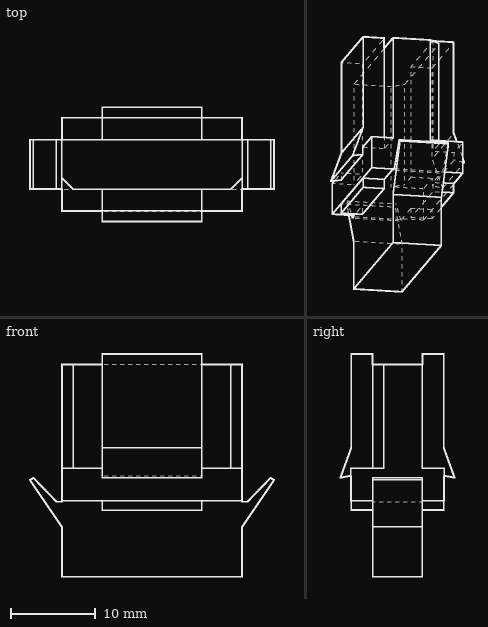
import cadquery as cq

total_length = 28.83
total_depth = 13.5
total_height = 26.3

body_length = 21.28
body_depth = 5.85
body_height = 25.05
front_corner_chamfer = 1.33

collar_depth = 11.0
collar_bottom = 9.0
collar_top = 12.8

latch_width = 11.75
latch_face_y = 5.48
latch_bend_z = 15.2
latch_tip_z = 11.68
latch_underside_rise = 0.23
strip_bottom = 7.87

arm_root_z = 5.88
arm_ledge_z = 8.88
arm_ledge_length = 0.63
arm_tip_z = 11.42
arm_end_rise = 0.25
arm_end_width = 0.43


def block(length, depth, bottom, top):
    """Box centred in X and Y between two heights."""
    return cq.Workplane("XY").workplane(offset=bottom).rect(length, depth).extrude(top - bottom)


def make_body():
    """Lower plug and upper core, with the core's front corners chamfered."""
    plug = block(body_length, body_depth, 0, collar_top)
    core = block(body_length, body_depth, collar_top, body_height)
    core = core.faces("<Y").edges("|Z").chamfer(front_corner_chamfer)
    return plug.union(core)


def make_latch():
    """Back latch plate with a wedge-shaped barb overhanging the collar."""
    inner_y = body_depth / 2
    outline = [
        (inner_y, total_height),
        (latch_face_y, total_height),
        (latch_face_y, latch_bend_z),
        (total_depth / 2, latch_tip_z),
        (latch_face_y, latch_tip_z + latch_underside_rise),
        (inner_y, latch_tip_z + latch_underside_rise),
    ]
    return cq.Workplane("YZ").polyline(outline).close().extrude(latch_width / 2, both=True)


def make_arm():
    """Spring arm rising outward from the +X end of the plug."""
    root_x = body_length / 2
    tip_x = total_length / 2
    outline = [
        (0, arm_root_z),
        (root_x, arm_root_z),
        (tip_x, arm_tip_z),
        (tip_x - arm_end_width, arm_tip_z + arm_end_rise),
        (root_x + arm_ledge_length, arm_ledge_z),
        (0, arm_ledge_z),
    ]
    return cq.Workplane("XZ").polyline(outline).close().extrude(body_depth / 2, both=True)


collar = block(body_length, collar_depth, collar_bottom, collar_top)
strips = block(latch_width, 2 * latch_face_y, strip_bottom, collar_bottom)
latch = make_latch()
arm = make_arm()

result = make_body().union(collar).union(strips)
for feature in (latch, latch.mirror("XZ"), arm, arm.mirror("YZ")):
    result = result.union(feature)